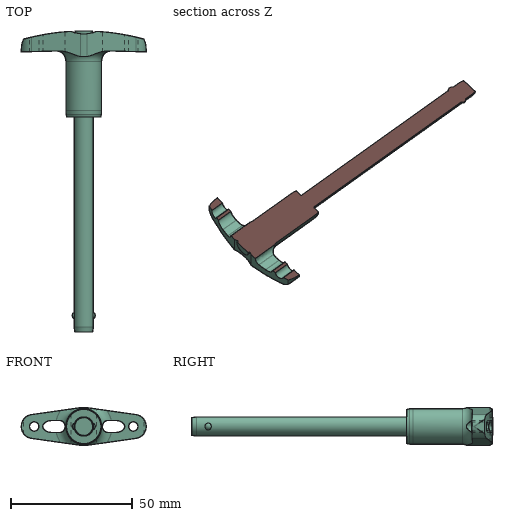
import cadquery as cq
import math


overall_length = 124.0
handle_span = 51.5
handle_width = 15.79
back_y = 35.5
sides = (-1, 1)
cut_margin = 2.0

collar_radius = 7.4
nose_radius = 7.3
shoulder_radius = 7.05
nose_length = 1.1
collar_taper_start = 2.65

flare_start = 23.0
flare_radius = 4.2
flare_top = flare_start + flare_radius
flare_outer_radius = collar_radius + flare_radius

half_span = handle_span / 2
half_width = handle_width / 2
end_radius = 5.0
end_center = half_span - end_radius
ridge_radius = 9.0
back_arc_radius = 93.0
front_face_drop = 0.45
tip_round_radius = 10.0
tip_round_y = back_y - 7.7

cord_hole_diameter = 3.75
cord_hole_offset = 20.4
slot_inner = 7.7
slot_outer = 16.8
slot_width = 4.8
slot_outer_end_length = 3.4
slot_inner_end_length = 2.0

button_radius = 3.6
trough_half_width = 5.6
trough_depth = 1.25

shank_radius = 4.0
tip_radius = 3.7
tip_length = 2.0
tip_y = back_y - overall_length
ball_radius = 1.5
ball_reach = 4.75
ball_from_tip = 6.8
ball_y = tip_y + ball_from_tip


def extrude_y(outline, start, stop):
    """Extrude a closed XZ outline from Y = start to Y = stop."""
    return outline.extrude(start - stop).translate((0, start, 0))


def revolve_about_pin(profile):
    """Revolve a closed XY profile around the pin axis."""
    return profile.revolve(360, (0, 0, 0), (0, 1, 0))


def handle_prism(start, stop):
    """Lens-shaped handle outline: rounded ridges, straight flanks and round ends."""
    ridge_center = half_width - ridge_radius
    distance = math.hypot(end_center, ridge_center)
    tilt = math.asin((ridge_radius - end_radius) / distance) + math.atan2(ridge_center, end_center)
    ridge_x = ridge_radius * math.sin(tilt)
    ridge_z = ridge_center + ridge_radius * math.cos(tilt)
    end_x = end_center + end_radius * math.sin(tilt)
    end_z = end_radius * math.cos(tilt)
    outline = (
        cq.Workplane("XZ")
        .moveTo(-ridge_x, ridge_z)
        .threePointArc((0, half_width), (ridge_x, ridge_z))
        .lineTo(end_x, end_z)
        .threePointArc((half_span, 0), (end_x, -end_z))
        .lineTo(ridge_x, -ridge_z)
        .threePointArc((0, -half_width), (-ridge_x, -ridge_z))
        .lineTo(-end_x, -end_z)
        .threePointArc((-half_span, 0), (-end_x, end_z))
        .close()
    )
    return extrude_y(outline, start, stop)


def handle_envelope():
    """Turned envelope of the handle: flare below, then a shallow conical front face."""
    bend = flare_radius * (1 - math.sqrt(0.5))
    envelope_radius = half_span + cut_margin
    return revolve_about_pin(
        cq.Workplane("XY")
        .moveTo(0, flare_start)
        .lineTo(collar_radius, flare_start)
        .threePointArc((collar_radius + bend, flare_top - bend), (flare_outer_radius, flare_top))
        .lineTo(envelope_radius, flare_top - front_face_drop)
        .lineTo(envelope_radius, back_y + cut_margin)
        .lineTo(0, back_y + cut_margin)
        .close()
    )


def arched_back():
    """Cylinder along Z whose crown forms the arched back of the handle."""
    return (
        cq.Workplane("XY")
        .center(0, back_y - back_arc_radius)
        .circle(back_arc_radius)
        .extrude(handle_width, both=True)
    )


def tip_round(side):
    """Cutter along Z that rounds one handle tip toward the back."""
    arc_center = half_span - tip_round_radius
    arc_rise = back_y - tip_round_y
    arc_angle = math.asin(arc_rise / tip_round_radius)
    bend_x = arc_center + tip_round_radius * math.cos(arc_angle / 2)
    bend_y = tip_round_y + tip_round_radius * math.sin(arc_angle / 2)
    back_x = arc_center + tip_round_radius * math.cos(arc_angle)
    return (
        cq.Workplane("XY")
        .moveTo(side * half_span, tip_round_y)
        .threePointArc((side * bend_x, bend_y), (side * back_x, back_y))
        .lineTo(side * (half_span + cut_margin), back_y)
        .lineTo(side * (half_span + cut_margin), tip_round_y)
        .close()
        .extrude(handle_width, both=True)
    )


def trough():
    """Concave trough along Z across the middle of the back."""
    return (
        cq.Workplane("XY")
        .moveTo(-trough_half_width, back_y)
        .threePointArc((0, back_y - trough_depth), (trough_half_width, back_y))
        .close()
        .extrude(handle_width, both=True)
    )


def cord_hole(side):
    """Round hole through one handle end."""
    circle = cq.Workplane("XZ").center(side * cord_hole_offset, 0).circle(cord_hole_diameter / 2)
    return extrude_y(circle, flare_start, back_y)


def slot(side):
    """Slot through one handle arm with elliptical ends, the outer one longer."""
    straight_start = slot_inner + slot_inner_end_length
    straight_end = slot_outer - slot_outer_end_length
    straight_length = straight_end - straight_start
    straight_middle = (straight_start + straight_end) / 2
    outline = cq.Workplane("XZ").center(side * straight_middle, 0).rect(straight_length, slot_width)
    body = extrude_y(outline, flare_start, back_y)
    ends = ((straight_start, slot_inner_end_length), (straight_end, slot_outer_end_length))
    for end_x, end_length in ends:
        ellipse = cq.Workplane("XZ").center(side * end_x, 0).ellipse(end_length, slot_width / 2)
        body = body.union(extrude_y(ellipse, flare_start, back_y))
    return body


def collar_and_shank():
    """Turned collar with a tapered nose, and the shank with a tapered tip."""
    return revolve_about_pin(
        cq.Workplane("XY")
        .moveTo(0, flare_start)
        .lineTo(collar_radius, flare_start)
        .lineTo(collar_radius, collar_taper_start)
        .lineTo(nose_radius, nose_length)
        .lineTo(shoulder_radius, 0)
        .lineTo(shank_radius, 0)
        .lineTo(shank_radius, tip_y + tip_length)
        .lineTo(tip_radius, tip_y)
        .lineTo(0, tip_y)
        .close()
    )


def button():
    """Round release button standing in the trough."""
    circle = cq.Workplane("XZ").circle(button_radius)
    return extrude_y(circle, flare_top, back_y)


def locking_ball(side):
    """Ball protruding from one side of the shank."""
    return cq.Workplane("XY").sphere(ball_radius).translate((side * (ball_reach - ball_radius), ball_y, 0))


handle = handle_prism(flare_start, back_y)
handle = handle.intersect(handle_envelope()).intersect(arched_back())
handle = handle.cut(trough())
for side in sides:
    handle = handle.cut(tip_round(side)).cut(cord_hole(side)).cut(slot(side))

result = handle.union(button()).union(collar_and_shank())
for side in sides:
    result = result.union(locking_ball(side))